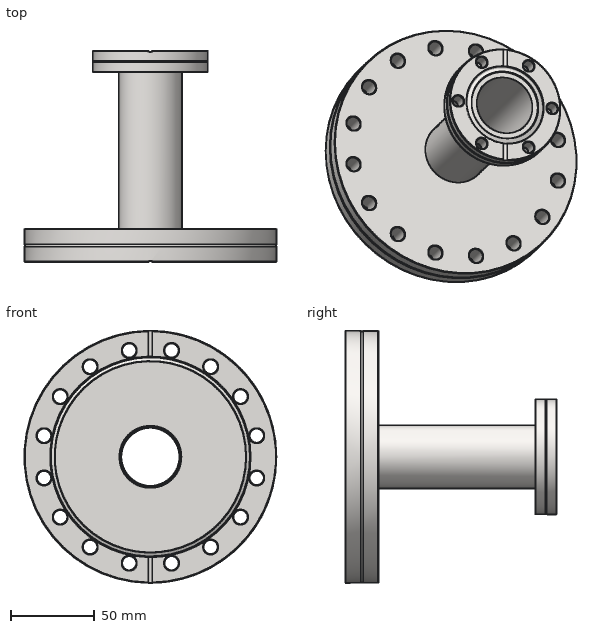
import cadquery as cq
import math

overall_length = 127.0
tube_outer_diameter = 38.1
tube_inner_diameter = 34.8

large_diameter = 151.6
large_thickness = 20.0
large_bore_diameter = 36.6
large_bore_depth = 10.7
large_recess_diameter = 120.65
large_knife_diameter = 115.3
large_hole_diameter = 8.43
large_hole_circle = 130.3
large_hole_count = 16
large_rim_groove_width = 1.5

small_diameter = 69.3
small_thickness = 13.0
small_recess_diameter = 48.31
small_knife_diameter = 41.9
small_hole_diameter = 6.73
small_hole_circle = 58.7
small_hole_count = 6
small_rim_groove_width = 1.0
back_pocket_diameter = 45.21
back_pocket_depth = 5.4

edge_chamfer = 0.4
rim_groove_depth = 0.35
recess_depth = 1.4
knife_tip_depth = 0.6
recess_floor_width = 0.6
knife_wall_run = 0.3
leak_groove_width = 2.5
leak_groove_depth = 0.85
leak_groove_radius = ((leak_groove_width / 2) ** 2 + leak_groove_depth**2) / (2 * leak_groove_depth)


def cylinder(diameter, start, length):
    """Cylinder about the Y axis, running toward +Y from Y = start."""
    return cq.Workplane("XZ", origin=(0, start, 0)).circle(diameter / 2).extrude(-length)


def flange_blank(diameter, thickness, recess_diameter, knife_diameter, rim_groove_width):
    """Revolved flange with its sealing face at Y = 0: knife edge, recess and rim groove."""
    radius = diameter / 2
    mid_thickness = thickness / 2
    groove_half = rim_groove_width / 2
    face_profile = [
        (0, recess_depth),
        (knife_diameter / 2 - knife_wall_run, recess_depth),
        (knife_diameter / 2, knife_tip_depth),
        (recess_diameter / 2 - recess_floor_width, recess_depth),
        (recess_diameter / 2, recess_depth),
        (recess_diameter / 2, 0),
        (radius - edge_chamfer, 0),
        (radius, edge_chamfer),
        (radius, mid_thickness - groove_half),
    ]
    rear_profile = [
        (radius, thickness - edge_chamfer),
        (radius - edge_chamfer, thickness),
        (0, thickness),
    ]
    outline = (
        cq.Workplane("XY")
        .polyline(face_profile)
        .threePointArc((radius - rim_groove_depth, mid_thickness), (radius, mid_thickness + groove_half))
    )
    for point in rear_profile:
        outline = outline.lineTo(*point)
    return outline.close().revolve(360, (0, 0, 0), (0, 1, 0))


def mouthed_bore(diameter, mouth, depth):
    """Cutter about the Y axis from Y = mouth, with a chamfered mouth; a negative depth runs toward -Y."""
    radius = diameter / 2
    chamfer_end = mouth + math.copysign(edge_chamfer, depth)
    profile = [
        (0, mouth),
        (radius + edge_chamfer, mouth),
        (radius, chamfer_end),
        (radius, mouth + depth),
        (0, mouth + depth),
    ]
    return cq.Workplane("XY").polyline(profile).close().revolve(360, (0, 0, 0), (0, 1, 0))


def cut_bolt_holes(flange, count, circle_diameter, hole_diameter, first_angle, thickness):
    """Cut a ring of chamfered through holes in a flange whose sealing face is at Y = 0."""
    hole = mouthed_bore(hole_diameter, 0, thickness).union(mouthed_bore(hole_diameter, thickness, -thickness))
    hole = hole.translate((circle_diameter / 2, 0, 0))
    for index in range(count):
        angle = first_angle + index * 360 / count
        flange = flange.cut(hole.rotate((0, 0, 0), (0, 1, 0), angle))
    return flange


def leak_grooves(diameter, recess_diameter):
    """Two round-bottomed radial grooves, at +Z and -Z, from the recess to the rim."""
    bar_diameter = 2 * leak_groove_radius
    axis_offset = leak_groove_radius - leak_groove_depth
    section = cq.Workplane("XY").center(0, -axis_offset).circle(leak_groove_radius)
    bar = section.extrude(diameter / 2, both=True)
    return bar.cut(cylinder(recess_diameter, -bar_diameter, 2 * bar_diameter))


def large_flange():
    """Flange at the -Y end; the bolt holes straddle the X and Z axes."""
    flange = flange_blank(
        large_diameter, large_thickness, large_recess_diameter, large_knife_diameter, large_rim_groove_width
    )
    half_pitch = 180 / large_hole_count
    flange = cut_bolt_holes(
        flange, large_hole_count, large_hole_circle, large_hole_diameter, half_pitch, large_thickness
    )
    return flange.cut(leak_grooves(large_diameter, large_recess_diameter))


def small_flange():
    """Flange at the +Y end, with an open pocket around the tube in its rear face."""
    flange = flange_blank(
        small_diameter, small_thickness, small_recess_diameter, small_knife_diameter, small_rim_groove_width
    )
    first_angle = 0
    flange = cut_bolt_holes(
        flange, small_hole_count, small_hole_circle, small_hole_diameter, first_angle, small_thickness
    )
    flange = flange.cut(leak_grooves(small_diameter, small_recess_diameter))
    flange = flange.cut(mouthed_bore(back_pocket_diameter, small_thickness, -back_pocket_depth))
    return flange.rotate((0, 0, 0), (0, 0, 1), 180).translate((0, overall_length, 0))


tube_end = overall_length - small_thickness + back_pocket_depth
tube = cylinder(tube_outer_diameter, large_bore_depth, tube_end - large_bore_depth)

body = large_flange().union(small_flange()).union(tube)
through_bore = cylinder(tube_inner_diameter, 0, overall_length)
entry_bore = mouthed_bore(large_bore_diameter, recess_depth, large_bore_depth - recess_depth)

result = body.cut(through_bore).cut(entry_bore)